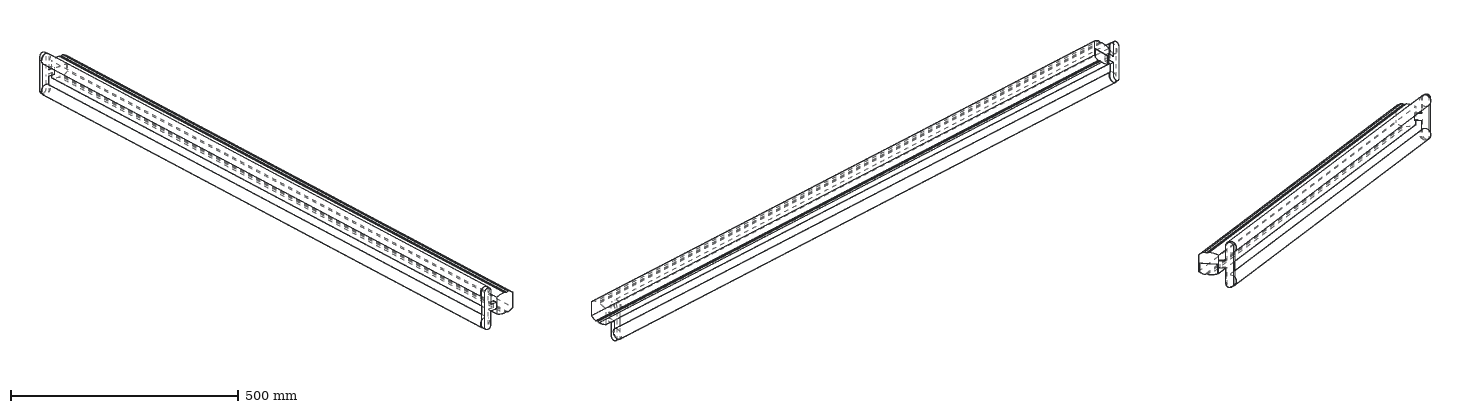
import cadquery as cq

BODY_LENGTH = 1525.0
TUBE_DIAMETER = 26.0
TUBE_SPACING = 76.0
TUBE_TO_BODY_REAR = 71.0

BODY_DEPTH = 46.0
FRONT_CORNER_HEIGHT = 20.7
REAR_CORNER_HEIGHT = 18.5
CROWN_HEIGHT = 25.5
FRONT_CROWN_SPAN = 21.5
FRONT_CROWN_SAG = 1.25
REAR_CROWN_SPAN = 13.5
REAR_CROWN_SAG = 0.95

GROOVE_DEPTH = 1.6
GROOVE_FLOOR_WIDTH = 3.0

BRACKET_WIDTH = 18.0
BRACKET_THICKNESS = 10.0
BRACKET_INSET = 1.0
STEM_HEIGHT = 16.0

STEP_DEPTH = 1.0
STEP_MARGIN = 3.0

TUBE_RADIUS = TUBE_DIAMETER / 2
BODY_REAR_Y = TUBE_TO_BODY_REAR
BODY_FRONT_Y = BODY_REAR_Y - BODY_DEPTH
BODY_LEFT_X = -BODY_LENGTH / 2
BRACKET_SPAN = BODY_LENGTH - 2 * BRACKET_INSET
BRACKET_HEIGHT = TUBE_SPACING + TUBE_DIAMETER


def section_plane(x):
    """Cross-section plane at x: local x is Y, local y is Z, extrusion runs toward +X."""
    return cq.Workplane("YZ", origin=(x, 0, 0))


def arc_middle(start, end, sag):
    """Point at the middle of the chord, raised by the sag in Z."""
    return ((start[0] + end[0]) / 2, (start[1] + end[1]) / 2 + sag)


def make_body():
    """Solid beam: crowned on top and bottom, with one groove along each crown."""
    front_corner = (BODY_FRONT_Y, FRONT_CORNER_HEIGHT)
    front_crown = (BODY_FRONT_Y + FRONT_CROWN_SPAN, CROWN_HEIGHT)
    rear_crown = (BODY_REAR_Y - REAR_CROWN_SPAN, CROWN_HEIGHT)
    rear_corner = (BODY_REAR_Y, REAR_CORNER_HEIGHT)

    groove_middle_y = (front_crown[0] + rear_crown[0]) / 2
    floor_z = CROWN_HEIGHT - GROOVE_DEPTH
    upper_half = (
        section_plane(BODY_LEFT_X)
        .moveTo(BODY_FRONT_Y, 0)
        .lineTo(*front_corner)
        .threePointArc(arc_middle(front_corner, front_crown, FRONT_CROWN_SAG), front_crown)
        .lineTo(groove_middle_y - GROOVE_FLOOR_WIDTH / 2, floor_z)
        .lineTo(groove_middle_y + GROOVE_FLOOR_WIDTH / 2, floor_z)
        .lineTo(*rear_crown)
        .threePointArc(arc_middle(rear_crown, rear_corner, REAR_CROWN_SAG), rear_corner)
        .lineTo(BODY_REAR_Y, 0)
        .close()
        .extrude(BODY_LENGTH)
    )
    return upper_half.union(upper_half.mirror("XY")).clean()


def make_end_step():
    """Cutter for the shallow step in the lower half of the left end, open at the bottom."""
    step_middle_y = (BODY_FRONT_Y + BODY_REAR_Y) / 2
    return (
        section_plane(BODY_LEFT_X)
        .center(step_middle_y, -CROWN_HEIGHT / 2)
        .rect(BODY_DEPTH - 2 * STEP_MARGIN, CROWN_HEIGHT)
        .extrude(STEP_DEPTH)
    )


def make_bracket(left_x):
    """Upright with fully rounded ends, and a stem reaching back to the body."""
    upright = section_plane(left_x).slot2D(BRACKET_HEIGHT, BRACKET_WIDTH, 90).extrude(BRACKET_THICKNESS)
    stem = (
        section_plane(left_x)
        .center(BODY_FRONT_Y / 2, 0)
        .rect(BODY_FRONT_Y, STEM_HEIGHT)
        .extrude(BRACKET_THICKNESS)
    )
    return upright.union(stem)


def make_tube(axis_z):
    """Round rail running between the inner faces of the two brackets."""
    start_x = -BRACKET_SPAN / 2 + BRACKET_THICKNESS
    plane = cq.Plane(origin=(start_x, 0, axis_z), xDir=(0, 0, 1), normal=(1, 0, 0))
    return cq.Workplane(plane).circle(TUBE_RADIUS).extrude(BRACKET_SPAN - 2 * BRACKET_THICKNESS)


result = make_body().cut(make_end_step())
for bracket_x in (-BRACKET_SPAN / 2, BRACKET_SPAN / 2 - BRACKET_THICKNESS):
    result = result.union(make_bracket(bracket_x))
for tube_z in (-TUBE_SPACING / 2, TUBE_SPACING / 2):
    result = result.union(make_tube(tube_z))